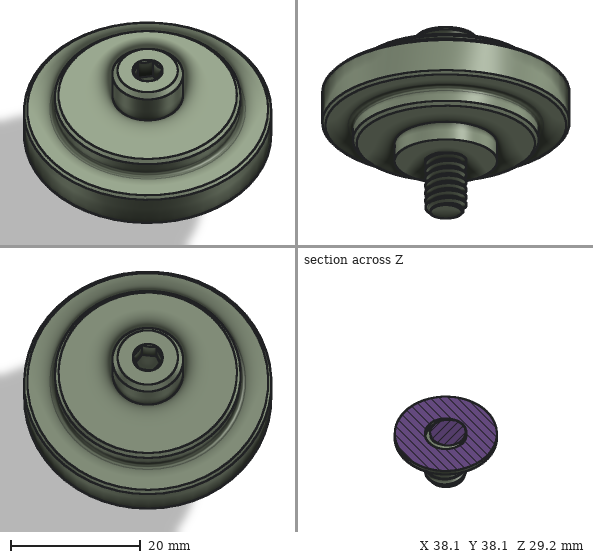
import cadquery as cq
import math

rim_diameter = 38.1
rim_width = 6.1
rim_chamfer = 0.5
hub_diameter = 28.6
hub_width = 12.23
hub_chamfer = 0.57
hub_fillet = 0.75

spacer_diameter = 15.8
spacer_height = 3.0

head_diameter = 10.9
head_height = 5.4
head_chamfer = 0.8
socket_flats = 4.0
socket_depth = 3.43
thread_diameter = 6.35
thread_end_length = 8.6
end_chamfer = 0.72

threads_in_end = 6.8
thread_pitch = thread_end_length / threads_in_end
thread_depth = 0.8
root_flat = 0.205
flank_half_angle = 30.0
groove_phase = 0.45
groove_overcut = 0.08
hidden_turns = 1

spacer_bottom = thread_end_length
wheel_bottom = spacer_bottom + spacer_height
wheel_top = wheel_bottom + hub_width
screw_top = wheel_top + head_height


def cylinder(diameter, bottom, height):
    return cq.Workplane("XY", origin=(0, 0, bottom)).circle(diameter / 2).extrude(height)


def make_wheel():
    bore_radius = thread_diameter / 2
    hub_radius = hub_diameter / 2
    rim_radius = rim_diameter / 2
    hub_half = hub_width / 2
    rim_half = rim_width / 2
    fillet_middle = hub_fillet * (1 - math.sqrt(0.5))

    section = (
        cq.Workplane("XZ", origin=(0, 0, wheel_bottom + hub_half))
        .moveTo(bore_radius, hub_half)
        .lineTo(hub_radius - hub_chamfer, hub_half)
        .lineTo(hub_radius, hub_half - hub_chamfer)
        .lineTo(hub_radius, rim_half + hub_fillet)
        .threePointArc(
            (hub_radius + fillet_middle, rim_half + fillet_middle),
            (hub_radius + hub_fillet, rim_half),
        )
        .lineTo(rim_radius - rim_chamfer, rim_half)
        .lineTo(rim_radius, rim_half - rim_chamfer)
        .lineTo(rim_radius, rim_chamfer - rim_half)
        .lineTo(rim_radius - rim_chamfer, -rim_half)
        .lineTo(hub_radius + hub_fillet, -rim_half)
        .threePointArc(
            (hub_radius + fillet_middle, -rim_half - fillet_middle),
            (hub_radius, -rim_half - hub_fillet),
        )
        .lineTo(hub_radius, hub_chamfer - hub_half)
        .lineTo(hub_radius - hub_chamfer, -hub_half)
        .lineTo(bore_radius, -hub_half)
        .close()
    )
    return section.revolve()


def make_spacer():
    bore = cylinder(thread_diameter, spacer_bottom, spacer_height)
    return cylinder(spacer_diameter, spacer_bottom, spacer_height).cut(bore)


def make_thread_groove():
    root_radius = thread_diameter / 2 - thread_depth
    outer_radius = thread_diameter / 2 + groove_overcut
    root_half = root_flat / 2
    flank_rise = (outer_radius - root_radius) * math.tan(math.radians(flank_half_angle))
    outer_half = root_half + flank_rise

    turns = math.ceil(threads_in_end) + 2 * hidden_turns
    start = groove_phase - hidden_turns * thread_pitch
    helix = cq.Wire.makeHelix(
        thread_pitch, turns * thread_pitch, root_radius, center=cq.Vector(0, 0, start)
    )
    section = cq.Workplane("XZ").polyline([
        (root_radius, start - root_half),
        (outer_radius, start - outer_half),
        (outer_radius, start + outer_half),
        (root_radius, start + root_half),
    ]).close()
    return section.sweep(cq.Workplane(obj=helix), isFrenet=True)


def make_socket():
    corner_diameter = socket_flats / math.cos(math.pi / 6)
    hexagon = (
        cq.Workplane("XY", origin=(0, 0, screw_top - socket_depth))
        .transformed(rotate=(0, 0, 90))
        .polygon(6, corner_diameter)
        .extrude(socket_depth)
    )
    corner_radius = corner_diameter / 2
    cone_tip = cq.Vector(0, 0, screw_top - corner_radius)
    countersink = cq.Solid.makeCone(0, corner_radius, corner_radius, pnt=cone_tip)
    return hexagon.union(cq.Workplane(obj=countersink))


def make_screw():
    head = cylinder(head_diameter, wheel_top, head_height).faces(">Z").chamfer(head_chamfer)
    shank = cylinder(thread_diameter, 0, wheel_top).faces("<Z").chamfer(end_chamfer)
    threaded_shank = shank.cut(make_thread_groove())
    return head.union(threaded_shank).cut(make_socket())


wheel = make_wheel()
spacer = make_spacer()
screw = make_screw()

result = cq.Compound.makeCompound([wheel.val(), spacer.val(), screw.val()])